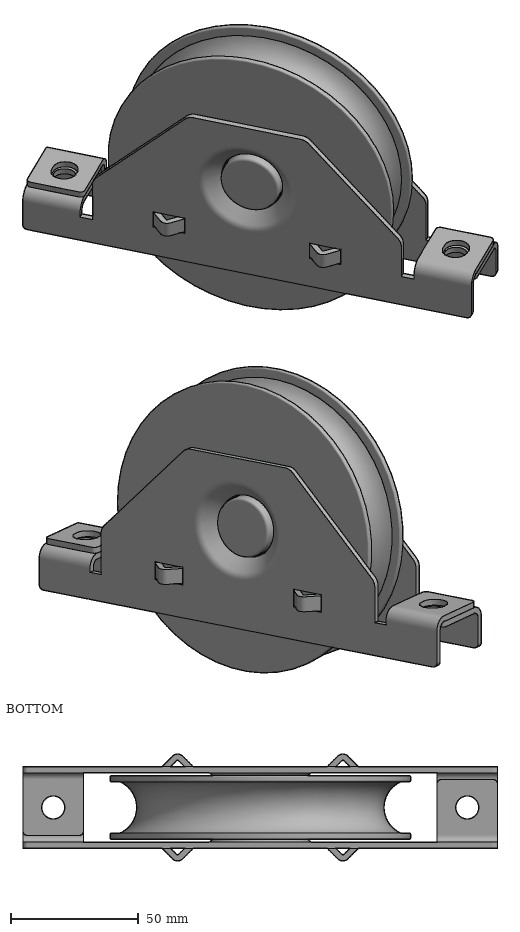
import cadquery as cq
import math


length = 186.0
plate_face_y = 16.0
sheet = 2.5
plate_bottom_z = -40.5
plate_top_z = 29.4
raised_half_width = 64.0
top_half_width = 24.2
raised_corner_radius = 5.0
bottom_corner_radius = 2.0

tab_length = 23.8
upper_tab_top_z = -20.5
lower_tab_top_z = upper_tab_top_z - sheet
bend_outer_radius = 5.0
bend_inner_radius = bend_outer_radius - sheet
upper_tab_end_y = 11.9
lower_tab_end_y = 11.0
tab_corner_radius = 1.9
relief_below_bend = 1.5
lower_tab_hole_diameter = 9.0
upper_tab_slot_width = 10.0
upper_tab_slot_length = 11.7

loop_x = 32.4
loop_mid_z = -23.5
loop_height = 6.1
lance_height = 7.3
lance_half_length = 6.5
loop_rise = 6.1
loop_outer_radius = 2.8
loop_inner_radius = loop_outer_radius - sheet

dish_radius = 20.5
dish_bend_radius = 3.7
dish_angle = math.radians(45)
dish_hole_radius = 12.6

wheel_radius = 59.0
wheel_half_width = 12.5
groove_half_width = 10.0
groove_radius = 11.0
groove_floor_radius = 48.5
rim_edge_radius = 0.5
hub_recess_radius = 19.0
hub_half_width = 5.5

axle_radius = 12.0
axle_half_length = 12.8
axle_edge_radius = 1.1

half_length = length / 2
plate_inner_y = plate_face_y - sheet
tab_inner_x = half_length - tab_length


def plate_outline(upper_notch_z, lower_notch_z):
    """Flat plate of the -Y side: blank with a relief notch at each end, below the tabs."""
    shoulder_z = plate_top_z - (raised_half_width - top_half_width)
    points = [
        (-half_length, plate_bottom_z),
        (half_length, plate_bottom_z),
        (half_length, upper_notch_z),
        (raised_half_width, upper_notch_z),
        (raised_half_width, shoulder_z),
        (top_half_width, plate_top_z),
        (-top_half_width, plate_top_z),
        (-raised_half_width, shoulder_z),
        (-raised_half_width, lower_notch_z),
        (-half_length, lower_notch_z),
    ]
    blank = cq.Workplane("XZ", origin=(0, -plate_inner_y, 0)).polyline(points).close().extrude(sheet)
    top_corners = cq.selectors.BoxSelector(
        (-half_length, -half_length, (upper_notch_z + shoulder_z) / 2),
        (half_length, half_length, plate_top_z + sheet),
    )
    blank = blank.edges("|Y").edges(top_corners).fillet(raised_corner_radius)
    return blank.edges("|Y").edges("<Z").fillet(bottom_corner_radius)


def folded_tab(top_z, end_y, foot_z):
    """Tab at the +X end: rises from the plate at foot_z, bends and runs across to end_y."""
    bend_end_z = top_z - bend_outer_radius
    flat_start_y = bend_outer_radius - plate_face_y
    diagonal = math.sqrt(0.5)
    outer_mid = (flat_start_y - bend_outer_radius * diagonal, bend_end_z + bend_outer_radius * diagonal)
    inner_mid = (flat_start_y - bend_inner_radius * diagonal, bend_end_z + bend_inner_radius * diagonal)
    tab = (
        cq.Workplane("YZ", origin=(tab_inner_x, 0, 0))
        .moveTo(-plate_face_y, foot_z)
        .lineTo(-plate_face_y, bend_end_z)
        .threePointArc(outer_mid, (flat_start_y, top_z))
        .lineTo(end_y, top_z)
        .lineTo(end_y, top_z - sheet)
        .lineTo(flat_start_y, top_z - sheet)
        .threePointArc(inner_mid, (-plate_inner_y, bend_end_z))
        .lineTo(-plate_inner_y, foot_z)
        .close()
        .extrude(tab_length)
    )
    return tab.edges("|Z").edges(">Y").fillet(tab_corner_radius)


def tab_cutter(top_z):
    """Workplane on the underside of the +X tab, centred on its hole."""
    return cq.Workplane("XY", origin=(half_length - tab_length / 2, 0, top_z - sheet))


def loop_strip(x):
    """V-shaped strip that bulges out of the -Y plate at x."""
    apex_y = -plate_face_y - loop_rise
    inner_apex_y = apex_y + sheet * math.sqrt(2)
    outer_foot = -plate_inner_y - apex_y
    inner_foot = -plate_inner_y - inner_apex_y
    strip = (
        cq.Workplane("XY", origin=(x, 0, loop_mid_z - loop_height / 2))
        .polyline([
            (-outer_foot, -plate_inner_y),
            (0, apex_y),
            (outer_foot, -plate_inner_y),
            (inner_foot, -plate_inner_y),
            (0, inner_apex_y),
            (-inner_foot, -plate_inner_y),
        ])
        .close()
        .extrude(loop_height)
    )
    strip = strip.edges("|Z").edges("<Y").fillet(loop_outer_radius)
    inner_edge = cq.selectors.NearestToPointSelector((x, inner_apex_y, loop_mid_z))
    return strip.edges("|Z").edges(inner_edge).fillet(loop_inner_radius)


def lance_opening(x):
    """Opening in the -Y plate from which the strip at x is pressed out."""
    return cq.Workplane("XY", origin=(x, sheet / 2 - plate_face_y, loop_mid_z)).box(
        2 * lance_half_length, sheet, lance_height
    )


def dish():
    """Conical dish of the -Y plate, from its rounded rim down to the axle hole."""
    bend_y = dish_bend_radius - plate_face_y
    back_bend_radius = dish_bend_radius - sheet

    def on_bend(radius, angle):
        return (dish_radius - radius * math.sin(angle), bend_y - radius * math.cos(angle))

    def on_cone(start):
        return (dish_hole_radius, start[1] + (start[0] - dish_hole_radius) * math.tan(dish_angle))

    front_tangent = on_bend(dish_bend_radius, dish_angle)
    back_tangent = on_bend(back_bend_radius, dish_angle)
    return (
        cq.Workplane("XY")
        .moveTo(dish_radius, -plate_face_y)
        .threePointArc(on_bend(dish_bend_radius, dish_angle / 2), front_tangent)
        .lineTo(*on_cone(front_tangent))
        .lineTo(*on_cone(back_tangent))
        .lineTo(*back_tangent)
        .threePointArc(on_bend(back_bend_radius, dish_angle / 2), (dish_radius, -plate_inner_y))
        .close()
        .revolve(360, (0, 0, 0), (0, 1, 0))
    )


def side_plate():
    """Plate of the -Y side: upper tab at its +X end and lower tab at its -X end."""
    upper_notch_z = upper_tab_top_z - bend_outer_radius - relief_below_bend
    lower_notch_z = lower_tab_top_z - bend_outer_radius - relief_below_bend

    upper_tab = folded_tab(upper_tab_top_z, upper_tab_end_y, upper_notch_z)
    upper_tab = upper_tab.cut(
        tab_cutter(upper_tab_top_z)
        .slot2D(upper_tab_slot_length, upper_tab_slot_width, 90)
        .extrude(sheet)
    )
    lower_tab = folded_tab(lower_tab_top_z, lower_tab_end_y, lower_notch_z)
    lower_tab = lower_tab.cut(
        tab_cutter(lower_tab_top_z).circle(lower_tab_hole_diameter / 2).extrude(sheet)
    )
    plate = plate_outline(upper_notch_z, lower_notch_z).union(upper_tab).union(lower_tab.mirror("YZ"))

    dish_blank = cq.Workplane("XZ", origin=(0, -plate_inner_y, 0)).circle(dish_radius).extrude(sheet)
    plate = plate.cut(dish_blank).union(dish())

    for x in (-loop_x, loop_x):
        reach = cq.Workplane("XY", origin=(x, -plate_face_y, loop_mid_z)).box(
            2 * lance_half_length, 4 * loop_rise, lance_height
        )
        plate = plate.cut(lance_opening(x)).union(loop_strip(x).intersect(reach))
    return plate


def grooved_wheel():
    """Wheel with a round rope groove, recessed on both sides around the hub."""
    groove_centre_radius = groove_floor_radius + groove_radius
    groove_edge_radius = groove_centre_radius - math.sqrt(groove_radius**2 - groove_half_width**2)
    wheel = (
        cq.Workplane("XY")
        .moveTo(axle_radius, -hub_half_width)
        .lineTo(hub_recess_radius, -hub_half_width)
        .lineTo(hub_recess_radius, -wheel_half_width)
        .lineTo(wheel_radius, -wheel_half_width)
        .lineTo(wheel_radius, -groove_half_width)
        .lineTo(groove_edge_radius, -groove_half_width)
        .threePointArc((groove_floor_radius, 0), (groove_edge_radius, groove_half_width))
        .lineTo(wheel_radius, groove_half_width)
        .lineTo(wheel_radius, wheel_half_width)
        .lineTo(hub_recess_radius, wheel_half_width)
        .lineTo(hub_recess_radius, hub_half_width)
        .lineTo(axle_radius, hub_half_width)
        .close()
        .revolve(360, (0, 0, 0), (0, 1, 0))
    )
    rim_edges = cq.selectors.RadiusNthSelector(-1)
    return wheel.edges("%CIRCLE").edges(rim_edges).fillet(rim_edge_radius)


def axle_pin():
    """Axle with rounded ends."""
    pin = cq.Workplane("XZ", origin=(0, axle_half_length, 0)).circle(axle_radius).extrude(2 * axle_half_length)
    return pin.faces("<Y or >Y").edges().fillet(axle_edge_radius)


front_plate = side_plate()
side_plates = [front_plate.rotate((0, 0, 0), (0, 0, 1), angle) for angle in (0, 180)]
wheel = grooved_wheel()
axle = axle_pin()

result = cq.Compound.makeCompound([*(plate.val() for plate in side_plates), wheel.val(), axle.val()])